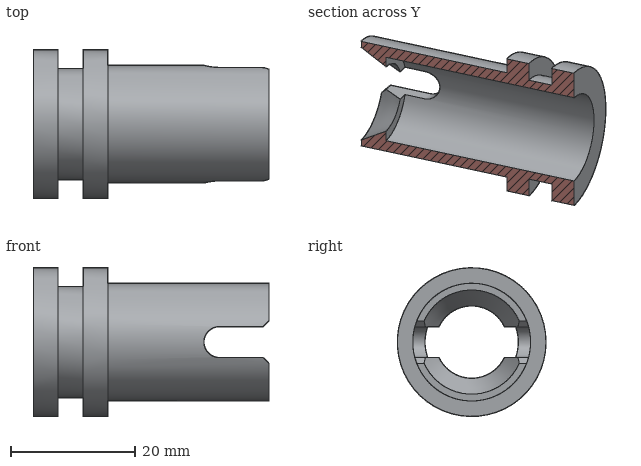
import cadquery as cq
import math

length = 38.0
collar_width = 4.0
groove_width = 4.03

collar_diameter = 24.0
groove_diameter = 18.0
body_diameter = 19.0
bore_diameter = 15.0
lip_diameter = 11.63

lip_length = 4.5
lip_flare_angle = 30.0

slot_width = 4.95
slot_depth = 10.5
slot_mouth_chamfer = 0.95


def cylinder(start, end, diameter):
    """Solid cylinder on the X axis between two X positions."""
    return cq.Workplane("YZ").workplane(offset=start).circle(diameter / 2).extrude(end - start)


def slot_cutter():
    """Round-bottomed slot through the sleeve along Y, with a flared mouth."""
    half_width = slot_width / 2
    half_mouth = half_width + slot_mouth_chamfer
    bottom = length - slot_depth
    arc_center = bottom + half_width
    flare_start = length - slot_mouth_chamfer
    return (
        cq.Workplane("XZ")
        .moveTo(arc_center, half_width)
        .threePointArc((bottom, 0), (arc_center, -half_width))
        .lineTo(flare_start, -half_width)
        .lineTo(length, -half_mouth)
        .lineTo(length, half_mouth)
        .lineTo(flare_start, half_width)
        .close()
        .extrude(collar_diameter / 2, both=True)
    )


second_collar_start = collar_width + groove_width
second_collar_end = second_collar_start + collar_width
outside = (
    cylinder(0, collar_width, collar_diameter)
    .union(cylinder(collar_width, second_collar_start, groove_diameter))
    .union(cylinder(second_collar_start, second_collar_end, collar_diameter))
    .union(cylinder(second_collar_end, length, body_diameter))
)

lip_start = length - lip_length
lip_end_diameter = lip_diameter + 2 * lip_length * math.tan(math.radians(lip_flare_angle))
bore = cylinder(0, lip_start, bore_diameter)
lip_hole = (
    cq.Workplane("YZ")
    .workplane(offset=lip_start)
    .circle(lip_diameter / 2)
    .workplane(offset=lip_length)
    .circle(lip_end_diameter / 2)
    .loft(ruled=True)
)

result = outside.cut(bore).cut(lip_hole).cut(slot_cutter())